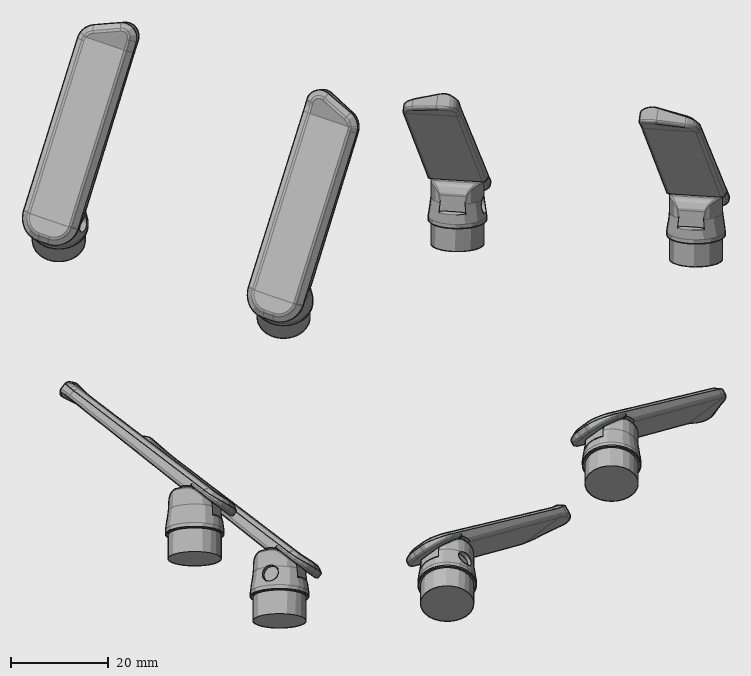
import cadquery as cq
import math

HANDLE_SPACING = 49.9

SPIGOT_RADIUS = 5.45
COLLAR_RADIUS = 6.0
COLLAR_BOTTOM = 5.0
COLLAR_TOP = 6.0
COLLAR_CHAMFER = 0.2
NECK_RADIUS = 5.45
NECK_BOTTOM = 10.1
SHOULDER_HEIGHT = 8.45
SHOULDER_ROUND = 0.55
FLAT_DEPTH = 4.95
FLAT_SLOPE = 0.1
CAP_TOP = 13.95
CAP_REAR_ROUND = 2.5
CAP_FRONT_ROUND = 3.1
CAP_EDGE_ROUND = 0.4
CAP_EDGE_LIMIT = 11.15
MARK_RADIUS = 1.75
MARK_HEIGHT = 8.7
MARK_DEPTH = 1.25

LEVER_ANGLE = 40.8
LEVER_WIDTH = 12.1
LEVER_START = 0.1
LEVER_END = 48.4
FRONT_RADIUS = 4.95
TIP_SLANT = 22.6
TIP_OUTER_RADIUS = 3.95
TIP_INNER_RADIUS = 3.0
SEAT_LEVEL = 11.4
SEAT_LENGTH = 8.05
TOP_FRONT = (4.95, 13.4)
TOP_REAR = (43.1, 12.9)
BOTTOM_FRONT = (8.05, 9.85)
BOTTOM_REAR = (43.1, 10.05)
FRONT_TOP = 14.1
TIP_TOP = 13.7
TIP_BOTTOM = 9.0
RIM_WIDTH = 1.4
RIM_HEIGHT = 1.05
RIM_ROUND = 0.9
BOTTOM_ROUND = 0.6
SEAT_ROUND = 0.5

TILT = math.radians(LEVER_ANGLE)
BIG = 37.2


def taper_radius(height):
    """Radius of the tapered body at a height above the collar."""
    share = (height - COLLAR_TOP) / (NECK_BOTTOM - COLLAR_TOP)
    return COLLAR_RADIUS + share * (NECK_RADIUS - COLLAR_RADIUS)


def flat_depth(height):
    """Distance of the leaning neck flats from the base axis."""
    return FLAT_DEPTH - FLAT_SLOPE * (height - SHOULDER_HEIGHT)


def make_column():
    """Spigot, collar, taper and neck as one turned blank."""
    return (
        cq.Workplane("XZ")
        .lineTo(SPIGOT_RADIUS, 0)
        .lineTo(SPIGOT_RADIUS, COLLAR_BOTTOM)
        .lineTo(COLLAR_RADIUS - COLLAR_CHAMFER, COLLAR_BOTTOM)
        .lineTo(COLLAR_RADIUS, COLLAR_BOTTOM + COLLAR_CHAMFER)
        .lineTo(COLLAR_RADIUS, COLLAR_TOP)
        .lineTo(NECK_RADIUS, NECK_BOTTOM)
        .lineTo(NECK_RADIUS, BIG)
        .lineTo(0, BIG)
        .close()
        .revolve(360, (0, 0, 0), (0, 1, 0))
    )


def make_shoulder_waste():
    """Turned space above the ledges, shaped to leave them a rounded rim."""
    round_start = SHOULDER_HEIGHT - SHOULDER_ROUND
    outer = taper_radius(round_start)
    inner = outer - SHOULDER_ROUND
    diagonal = SHOULDER_ROUND * math.sqrt(0.5)
    return (
        cq.Workplane("XZ")
        .moveTo(0, SHOULDER_HEIGHT)
        .lineTo(inner, SHOULDER_HEIGHT)
        .threePointArc((inner + diagonal, round_start + diagonal), (outer, round_start))
        .lineTo(BIG, round_start)
        .lineTo(BIG, 2 * BIG)
        .lineTo(0, 2 * BIG)
        .close()
        .revolve(360, (0, 0, 0), (0, 1, 0))
    )


def make_cap_prism():
    """Side outline of the neck and cap, carried straight through along X."""
    slope = math.tan(TILT)
    seat_at_axis = SEAT_LEVEL / math.cos(TILT)
    seat_rear = (CAP_TOP - seat_at_axis) / slope
    seat_front = (seat_at_axis - slope * flat_depth(0)) / (1 - slope * FLAT_SLOPE)
    prism = (
        cq.Workplane("YZ", origin=(-BIG, 0, 0))
        .moveTo(-flat_depth(COLLAR_TOP), COLLAR_TOP)
        .lineTo(flat_depth(COLLAR_TOP), COLLAR_TOP)
        .lineTo(flat_depth(CAP_TOP), CAP_TOP)
        .lineTo(seat_rear, CAP_TOP)
        .lineTo(-flat_depth(seat_front), seat_front)
        .close()
        .extrude(2 * BIG)
    )
    prism = prism.faces(">Z").edges(">Y").fillet(CAP_REAR_ROUND)
    return prism.faces(">Z").edges("<Y").fillet(CAP_FRONT_ROUND)


def make_base():
    """One base, with its round recess on the +X side."""
    base = make_column().cut(make_shoulder_waste().cut(make_cap_prism()))
    cap_edges = cq.selectors.BoxSelector((-BIG, -BIG, CAP_EDGE_LIMIT), (BIG, BIG, BIG))
    base = base.edges(cap_edges).edges("not |X").fillet(CAP_EDGE_ROUND)
    mark = (
        cq.Workplane("YZ", origin=(taper_radius(MARK_HEIGHT) - MARK_DEPTH, 0, 0))
        .center(0, MARK_HEIGHT)
        .circle(MARK_RADIUS)
        .extrude(BIG)
    )
    return base.cut(mark)


def make_lever_plan():
    """Plan of the lever, with rounded front and slanted tip, as a tall prism."""
    half = LEVER_WIDTH / 2
    slant = math.radians(TIP_SLANT)
    tangent_x = half - TIP_INNER_RADIUS * (1 + math.sin(slant))
    tangent_y = LEVER_END - TIP_INNER_RADIUS * (1 - math.cos(slant))
    inner_corner = tangent_y + (half - tangent_x) * math.tan(slant)
    outer_corner = inner_corner - LEVER_WIDTH * math.tan(slant)
    prism = (
        cq.Workplane("XY")
        .moveTo(-half, LEVER_START)
        .lineTo(half, LEVER_START)
        .lineTo(half, inner_corner)
        .lineTo(-half, outer_corner)
        .close()
        .extrude(BIG)
    )
    prism = prism.edges("|Z and <Y").fillet(FRONT_RADIUS)
    prism = prism.edges("|Z and >Y").fillet(TIP_INNER_RADIUS)
    outer_edge = cq.selectors.NearestToPointSelector((-half, outer_corner, BIG / 2))
    return prism.edges(outer_edge).fillet(TIP_OUTER_RADIUS)


def tip_flare_middle():
    """Middle of the arc that runs from the straight upper side up to the tip."""
    run = LEVER_END - TOP_REAR[0]
    rise = TIP_TOP - TOP_REAR[1]
    straight_angle = math.atan2(TOP_REAR[1] - TOP_FRONT[1], TOP_REAR[0] - TOP_FRONT[0])
    bend = math.atan2(rise, run) - straight_angle
    sag = math.tan(bend / 2) / 2
    return (TOP_REAR[0] + run / 2 + rise * sag, TOP_REAR[1] + rise / 2 - run * sag)


def make_lever_side():
    """Side outline of the lever, flared at both ends, carried through along X."""
    return (
        cq.Workplane("YZ", origin=(-BIG, 0, 0))
        .moveTo(*TOP_REAR)
        .lineTo(*TOP_FRONT)
        .tangentArcPoint((LEVER_START, FRONT_TOP), relative=False)
        .lineTo(LEVER_START, BOTTOM_FRONT[1])
        .lineTo(*BOTTOM_FRONT)
        .lineTo(*BOTTOM_REAR)
        .tangentArcPoint((LEVER_END, TIP_BOTTOM), relative=False)
        .lineTo(LEVER_END, TIP_TOP)
        .threePointArc(tip_flare_middle(), TOP_REAR)
        .close()
        .extrude(2 * BIG)
    )


def make_lever():
    """One tilted lever, thinned at the front and hollowed to sit over the cap."""
    half = LEVER_WIDTH / 2
    middle_y = (TOP_FRONT[0] + TOP_REAR[0]) / 2
    middle_top = (TOP_FRONT[1] + TOP_REAR[1]) / 2
    middle_bottom = (BOTTOM_FRONT[1] + BOTTOM_REAR[1]) / 2

    def long_edge(x, y, z):
        return cq.selectors.NearestToPointSelector((x, y, z))

    lever = make_lever_plan().intersect(make_lever_side())
    lever = lever.edges(long_edge(half, middle_y, middle_bottom)).fillet(BOTTOM_ROUND)
    front_waste = cq.Workplane("XY").box(BIG, 2 * SEAT_LENGTH, 2 * SEAT_LEVEL)
    lever = lever.cut(front_waste)
    seat_middle = (FRONT_RADIUS + SEAT_LENGTH) / 2
    lever = lever.edges(long_edge(half, seat_middle, SEAT_LEVEL)).fillet(SEAT_ROUND)
    lever = lever.edges(long_edge(half, middle_y, middle_top)).chamfer(RIM_WIDTH, RIM_HEIGHT)
    lever = lever.edges(long_edge(half - RIM_WIDTH, middle_y, middle_top)).fillet(RIM_ROUND)
    return lever.rotate((0, 0, 0), (1, 0, 0), LEVER_ANGLE).cut(make_cap_prism())


base = make_base()
lever = make_lever()

solids = []
for body in (base, lever):
    left = body.translate((-HANDLE_SPACING / 2, 0, 0))
    right = left.mirror("YZ")
    solids += [left.val(), right.val()]
result = cq.Compound.makeCompound(solids)